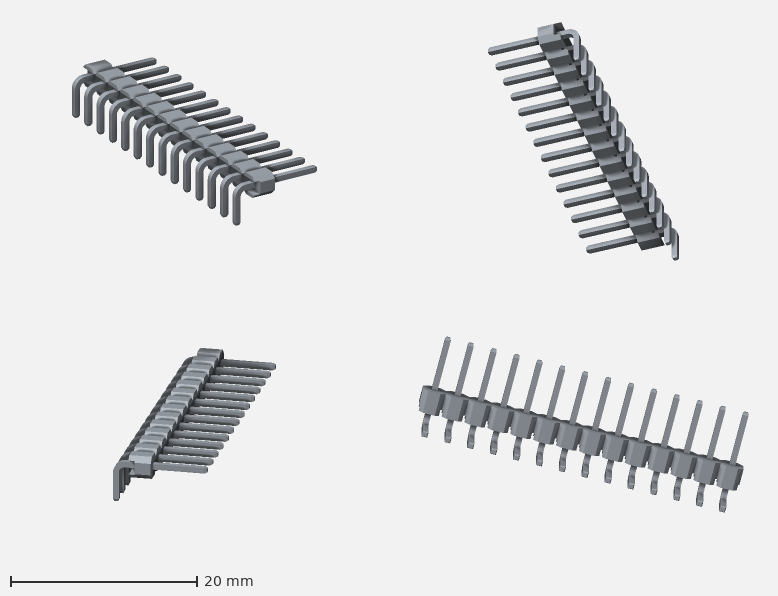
import cadquery as cq


pin_count = 14
row_length = 35.55
pitch = row_length / pin_count
body_depth = 2.5
body_height = 2.52
notch_depth = 0.6
channel_height = 1.6
channel_depth = 0.68

overall_depth = 10.35
overall_height = 5.55
pin_size = 0.65
contact_length = 5.97
bend_outer_radius = 1.3
bend_inner_radius = bend_outer_radius - pin_size
tip_length = 0.3
tip_inset = 0.1

contact_end_y = contact_length
tail_outer_y = contact_length - overall_depth
tail_end_z = body_height / 2 - overall_height
bend_centre_y = tail_outer_y + bend_outer_radius
bend_centre_z = pin_size / 2 - bend_outer_radius
tail_axis_y = tail_outer_y + pin_size / 2


def housing_cell(centre_x):
    """One octagonal cell of the housing, chamfered along its four Y edges."""
    return (
        cq.Workplane("XY")
        .box(pitch, body_depth, body_height)
        .edges("|Y")
        .chamfer(notch_depth)
        .translate((centre_x, -body_depth / 2, 0))
    )


def rear_channel():
    """Channel along the whole row in the -Y face, where the tails come out."""
    return (
        cq.Workplane("XY")
        .box(row_length, channel_depth, channel_height)
        .translate((row_length / 2, channel_depth / 2 - body_depth, 0))
    )


def tapered_tip(base_plane):
    """Blunt square pyramid that ends a pin, growing along the plane normal."""
    end_size = pin_size - 2 * tip_inset
    return (
        cq.Workplane(base_plane)
        .rect(pin_size, pin_size)
        .workplane(offset=tip_length)
        .rect(end_size, end_size)
        .loft(ruled=True)
    )


def bent_pin():
    """Square pin centred on X = 0, swept along its straight contact, bend and tail."""
    contact_shoulder_y = contact_end_y - tip_length
    tail_shoulder_z = tail_end_z + tip_length
    path = (
        cq.Workplane("YZ")
        .moveTo(contact_shoulder_y, 0)
        .lineTo(bend_centre_y, 0)
        .radiusArc((tail_axis_y, bend_centre_z), -(bend_inner_radius + pin_size / 2))
        .lineTo(tail_axis_y, tail_shoulder_z)
    )
    contact_plane = cq.Plane(origin=(0, contact_shoulder_y, 0), xDir=(1, 0, 0), normal=(0, 1, 0))
    tail_plane = cq.Plane(origin=(0, tail_axis_y, tail_shoulder_z), xDir=(1, 0, 0), normal=(0, 0, -1))
    shank = cq.Workplane(contact_plane).rect(pin_size, pin_size).sweep(path)
    return shank.union(tapered_tip(contact_plane)).union(tapered_tip(tail_plane))


cell_centres = [(index + 0.5) * pitch for index in range(pin_count)]

housing = housing_cell(cell_centres[0])
for centre_x in cell_centres[1:]:
    housing = housing.union(housing_cell(centre_x))

result = housing.cut(rear_channel())
pin = bent_pin()
for centre_x in cell_centres:
    result = result.union(pin.translate((centre_x, 0, 0)))